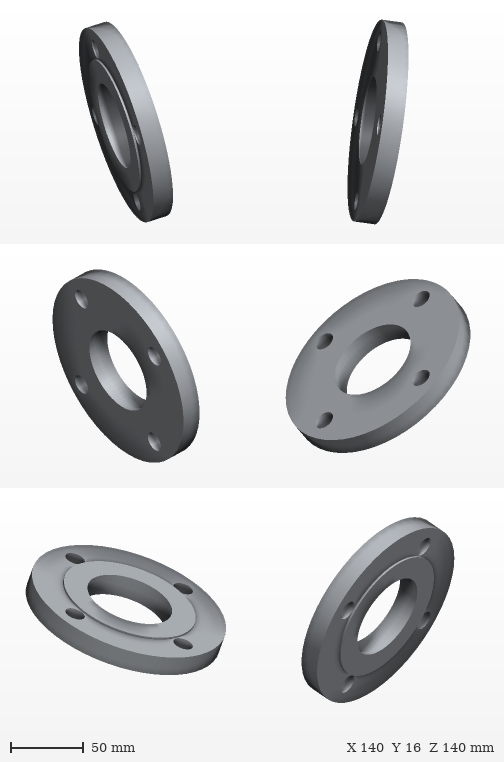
import cadquery as cq

flange_diameter = 140.0
total_thickness = 16.0
bore_diameter = 61.0

raised_face_diameter = 95.0
raised_face_height = 1.5

bolt_circle_diameter = 110.0
bolt_hole_diameter = 14.0
bolt_hole_count = 4
first_bolt_angle = 45.0

disc_thickness = total_thickness - raised_face_height


def disc_with_raised_face():
    """Disc from Y = 0 to -disc_thickness, then the raised face."""
    disc = cq.Workplane("XZ").circle(flange_diameter / 2).extrude(disc_thickness)
    raised_face = (
        cq.Workplane("XZ", origin=(0, -disc_thickness, 0))
        .circle(raised_face_diameter / 2)
        .extrude(raised_face_height)
    )
    return disc.union(raised_face)


def bore():
    return cq.Workplane("XZ").circle(bore_diameter / 2).extrude(total_thickness)


def bolt_holes():
    return (
        cq.Workplane("XZ")
        .polarArray(bolt_circle_diameter / 2, first_bolt_angle, 360, bolt_hole_count)
        .circle(bolt_hole_diameter / 2)
        .extrude(total_thickness)
    )


result = disc_with_raised_face().cut(bore()).cut(bolt_holes())